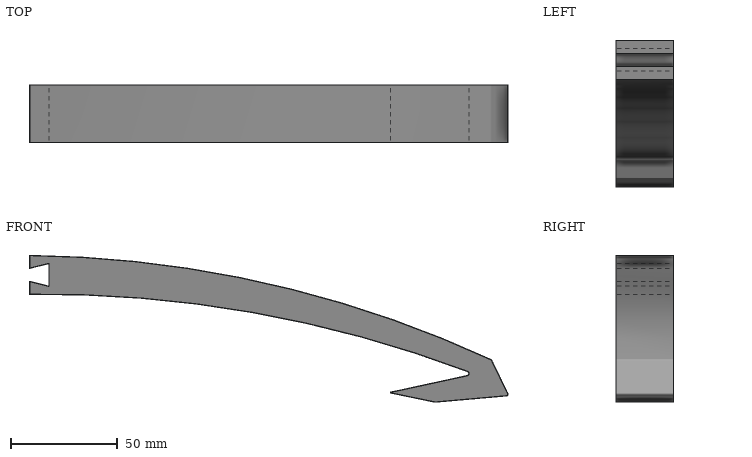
import cadquery as cq

WIDTH = 27.14
HEIGHT = 68.9

ARM_DEPTH = 18.3
MIDDLE_X = 100.0
OUTER_MIDDLE_Z = -10.65
INNER_MIDDLE_Z = -26.05
OUTER_END = (216.7, -49.0)

HOOK_THROAT = (208.6, -55.7)
HOOK_TIP = (168.5, -64.4)
HOOK_BOTTOM = (190.3, -HEIGHT)
HOOK_HEEL = (224.87, -65.85)

OUTER_END_RADIUS = 1.2
THROAT_RADIUS = 1.0
TIP_RADIUS = 0.2
HEEL_RADIUS = 0.8

SLOT_DEPTH = 9.0
SLOT_MOUTH = 6.1
SLOT_FLOOR = 10.6
SLOT_CENTER_Z = -ARM_DEPTH / 2


def extrude_across(outline):
    """Extrude a closed XZ outline over the full width, centred on Y = 0."""
    return outline.extrude(WIDTH / 2, both=True)


def make_body():
    """Arm and hook in one piece, with sharp corners."""
    outline = (
        cq.Workplane("XZ")
        .moveTo(0, 0)
        .threePointArc((MIDDLE_X, OUTER_MIDDLE_Z), OUTER_END)
        .lineTo(*HOOK_HEEL)
        .lineTo(*HOOK_BOTTOM)
        .lineTo(*HOOK_TIP)
        .lineTo(*HOOK_THROAT)
        .threePointArc((MIDDLE_X, INNER_MIDDLE_Z), (0, -ARM_DEPTH))
        .close()
    )
    return extrude_across(outline)


def round_corner(body, corner, radius):
    """Round the edge running along Y through the given (X, Z) outline corner."""
    nearest = cq.selectors.NearestToPointSelector((corner[0], 0, corner[1]))
    return body.edges("|Y").edges(nearest).fillet(radius)


def make_slot():
    """Dovetail cutter running through the full width."""
    outline = (
        cq.Workplane("XZ")
        .polyline([
            (0, SLOT_CENTER_Z + SLOT_MOUTH / 2),
            (SLOT_DEPTH, SLOT_CENTER_Z + SLOT_FLOOR / 2),
            (SLOT_DEPTH, SLOT_CENTER_Z - SLOT_FLOOR / 2),
            (0, SLOT_CENTER_Z - SLOT_MOUTH / 2),
        ])
        .close()
    )
    return extrude_across(outline)


rounded_corners = [
    (OUTER_END, OUTER_END_RADIUS),
    (HOOK_THROAT, THROAT_RADIUS),
    (HOOK_TIP, TIP_RADIUS),
    (HOOK_HEEL, HEEL_RADIUS),
]

body = make_body()
for corner, radius in rounded_corners:
    body = round_corner(body, corner, radius)
result = body.cut(make_slot())